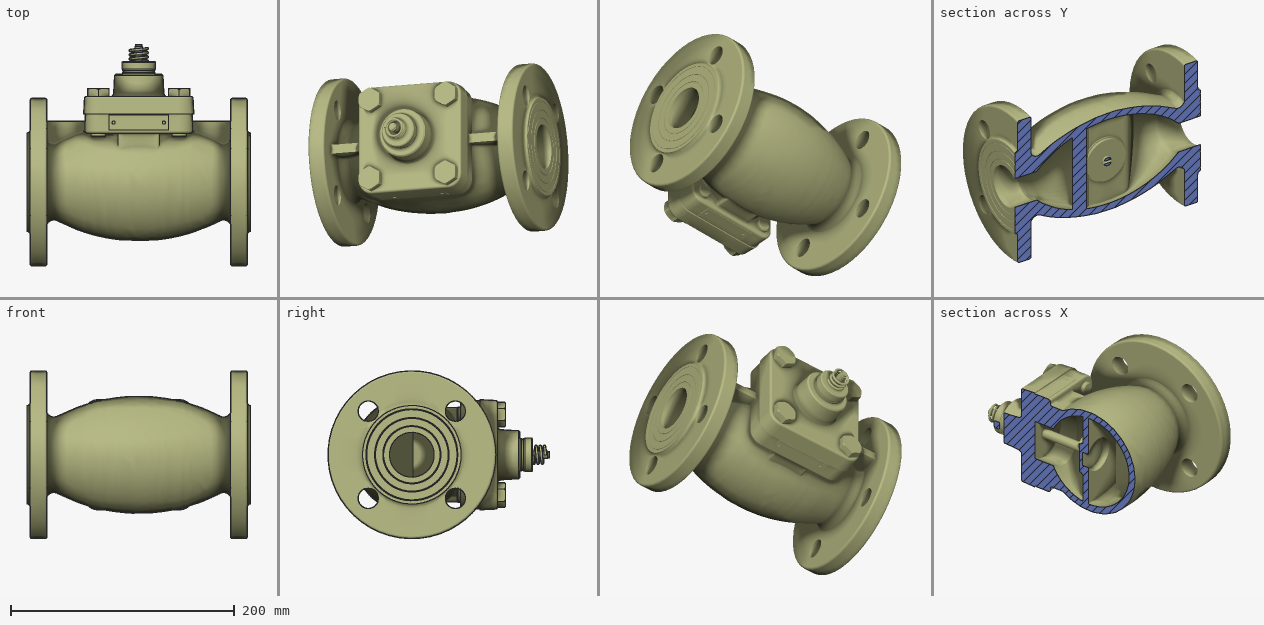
import cadquery as cq
import math


tolerance = 0.05

face_to_face = 200.0
overall_height = 197.9
flange_diameter = 150.0
flange_thickness = 15.0
flange_edge_round = 2.0
raised_face_height = 3.0
raised_face_radius = 44.0
raised_face_fillet = 3.0
bolt_circle_diameter = 110.0
flange_hole_diameter = 18.0
seal_groove_radii = (25.6, 32.9, 40.7)
seal_groove_width = 0.8
seal_groove_depth = 0.5

end_x = face_to_face / 2
flange_front_x = end_x - raised_face_height
flange_back_x = flange_front_x - flange_thickness

body_radius = 52.4
body_end_x = 73.0
body_end_radius = 34.4
throat_x = 76.2
throat_radius = 33.8
neck_flange_radius = 37.6
wall_thickness = 7.0
bore_radius = 20.0
cavity_end_x = 76.0

seat_bottom_y = 1.0
seat_top_y = 7.7
seat_ring_height = 1.2
seat_ring_radius = 22.0
seat_half_length = 26.0
partition_reach_x = 82.0
partition_reach_y = 60.0
partition_wall_length_x = 10.0
partition_round = 12.0
seat_radius = 16.0
plug_radius = 21.0
plug_thickness = 2.6
plug_stem_radius = 4.3
stem_pin_hole_diameter = 2.4
stem_pin_hole_y = 13.6

plate_bottom_y = 43.6
joint_y = 61.0
bonnet_top_y = 76.6
lower_plate_half = 48.0
bonnet_half = 48.5
bonnet_base_half = 49.3
plate_edge_round = 2.0
neck_radius = 41.8
neck_opening_radius = 24.0
saddle_half_width = 18.5
saddle_half_depth = 42.3
saddle_fillet = 1.5
saddle_bottom_y = 20.0
saddle_edge_round = 2.0
rib_top_y = 54.5
rib_thickness = 8.0
rib_fillet = 1.8
nameplate_length = 53.0
nameplate_bottom_y = 46.4
nameplate_top_y = 60.0
nameplate_thickness = 0.4
rivet_spacing = 44.8
rivet_y = 53.2
rivet_radius = 1.4
rivet_height = 0.6

bolt_spacing = 72.0
bolt_head_flats = 19.2
bolt_head_height = 7.2
bolt_head_chamfer = 1.0
bolt_end_radius = 6.5
bolt_end_y = 40.2
bolt_end_chamfer = 1.0

housing_top_y = 96.5
housing_top_radius = 21.7
housing_base_radius = 22.5
housing_base_y = 80.2
housing_foot_radius = 24.0
housing_top_round = 1.2
cap_top_y = 107.8
cap_bottom_y = 100.9
cap_radius = 15.1
cap_round = 0.8
gland_radius = 14.4
gland_groove_bottom_y = 98.0
gland_groove_top_y = 99.8
gland_groove_depth = 0.4
stem_top_y = overall_height - flange_diameter / 2
stem_radius = 3.5
stem_tip_radius = 2.8
stem_shoulder_y = 121.3
spring_wire_diameter = 2.2
spring_outer_radius = 8.6
spring_pitch = 3.75
spring_turns = 3
spring_start_y = cap_top_y + 0.3


def level(y):
    """Workplane facing +Y at height y, centred on the stem axis."""
    return cq.Workplane(cq.Plane(origin=(0, y, 0), xDir=(1, 0, 0), normal=(0, 1, 0)))


def cylinder(radius, bottom_y, top_y):
    return level(bottom_y).circle(radius).extrude(top_y - bottom_y)


def rounded_plate(half_width, bottom_y, top_y):
    """Square plate whose corners are rounded about the cover bolts."""
    plate = level(bottom_y).rect(2 * half_width, 2 * half_width).extrude(top_y - bottom_y)
    return plate.edges("|Y").fillet(half_width - bolt_spacing / 2)


def body_shell():
    """Solid barrel with its two throats, turned about X."""
    profile = (
        cq.Workplane("XY")
        .moveTo(-flange_back_x, 0)
        .lineTo(-flange_back_x, neck_flange_radius)
        .threePointArc((-throat_x, throat_radius), (-body_end_x, body_end_radius))
        .threePointArc((0, body_radius), (body_end_x, body_end_radius))
        .threePointArc((throat_x, throat_radius), (flange_back_x, neck_flange_radius))
        .lineTo(flange_back_x, 0)
        .close()
    )
    return profile.revolve(360, (0, 0, 0), (1, 0, 0))


def body_cavity(growth=0):
    """Through bore that swells inside the barrel, optionally grown outwards."""
    end_radius = bore_radius + growth
    middle_radius = body_radius - wall_thickness + growth
    profile = (
        cq.Workplane("XY")
        .moveTo(-end_x, 0)
        .lineTo(-end_x, end_radius)
        .lineTo(-cavity_end_x, end_radius)
        .threePointArc((0, middle_radius), (cavity_end_x, end_radius))
        .lineTo(end_x, end_radius)
        .lineTo(end_x, 0)
        .close()
    )
    return profile.revolve(360, (0, 0, 0), (1, 0, 0))


def flange():
    """Flange with raised face and bolt holes at the -X end."""
    disc = (
        cq.Workplane("YZ", origin=(-flange_front_x, 0, 0))
        .circle(flange_diameter / 2)
        .extrude(flange_thickness)
        .edges()
        .fillet(flange_edge_round)
    )
    foot_radius = raised_face_radius + raised_face_fillet
    arc_offset = raised_face_fillet * (1 - math.sqrt(0.5))
    raised_face = (
        cq.Workplane("XY")
        .moveTo(-end_x, 0)
        .lineTo(-end_x, raised_face_radius)
        .threePointArc(
            (-flange_front_x - arc_offset, raised_face_radius + arc_offset),
            (-flange_front_x, foot_radius),
        )
        .lineTo(-flange_front_x, 0)
        .close()
        .revolve(360, (0, 0, 0), (1, 0, 0))
    )
    holes = (
        cq.Workplane("YZ", origin=(-end_x, 0, 0))
        .polarArray(bolt_circle_diameter / 2, 45, 360, 4)
        .circle(flange_hole_diameter / 2)
        .extrude(raised_face_height + flange_thickness)
    )
    part = disc.union(raised_face).cut(holes)
    for radius in seal_groove_radii:
        groove = (
            cq.Workplane("YZ", origin=(-end_x, 0, 0))
            .circle(radius + seal_groove_width / 2)
            .circle(radius - seal_groove_width / 2)
            .extrude(seal_groove_depth)
        )
        part = part.cut(groove)
    return part


def saddle():
    """Round neck with a flat block across it, joining the barrel to the lower plate."""
    neck = cylinder(neck_radius, 0, plate_bottom_y)
    block = (
        level(saddle_bottom_y)
        .rect(2 * saddle_half_width, 2 * saddle_half_depth)
        .extrude(plate_bottom_y - saddle_bottom_y)
        .edges("|Y")
        .fillet(saddle_edge_round)
    )
    return neck.union(block)


def ribs():
    """Web along the top of the barrel, from flange to flange."""
    size = (2 * flange_back_x, rib_top_y, rib_thickness)
    return cq.Workplane("XY").box(*size, centered=(True, False, True))


def lower_plate():
    plate = rounded_plate(lower_plate_half, plate_bottom_y, joint_y)
    return plate.faces("<Y").edges().fillet(plate_edge_round)


def nameplates():
    """Riveted plate on the -Z and +Z sides of the lower plate."""
    height = nameplate_top_y - nameplate_bottom_y
    middle_y = (nameplate_top_y + nameplate_bottom_y) / 2
    depth = 2 * (lower_plate_half + nameplate_thickness)
    plates = cq.Workplane("XY").box(nameplate_length, height, depth).translate((0, middle_y, 0))
    rivet_length = depth + 2 * rivet_height
    rivets = (
        cq.Workplane("XY", origin=(0, rivet_y, -rivet_length / 2))
        .rarray(rivet_spacing, 1, 2, 1)
        .circle(rivet_radius)
        .extrude(rivet_length)
    )
    return plates.union(rivets)


def bonnet():
    """Cover plate that narrows slightly towards its top."""
    height = bonnet_top_y - joint_y
    draft_angle = math.degrees(math.atan((bonnet_base_half - bonnet_half) / height))
    base_width = 2 * bonnet_base_half
    corner_radius = bonnet_base_half - bolt_spacing / 2
    outline = cq.Sketch().rect(base_width, base_width).vertices().fillet(corner_radius)
    plate = level(joint_y).placeSketch(outline).extrude(height, taper=draft_angle)
    return plate.faces(">Y").edges().fillet(plate_edge_round)


def cover_bolts():
    """Four hexagon bolts through the plates, with their ends showing below."""
    corners_diameter = bolt_head_flats / math.cos(math.pi / 6)
    head = (
        level(bonnet_top_y)
        .polygon(6, corners_diameter)
        .extrude(bolt_head_height)
        .rotate((0, 0, 0), (0, 1, 0), 30)
    )
    corner_cone = (
        cylinder(corners_diameter / 2, bonnet_top_y, bonnet_top_y + bolt_head_height)
        .faces(">Y")
        .edges()
        .chamfer(bolt_head_chamfer)
    )
    shank = cylinder(bolt_end_radius, bolt_end_y, joint_y).faces("<Y").edges().chamfer(bolt_end_chamfer)
    bolt = head.intersect(corner_cone).union(shank)
    bolts = cq.Workplane("XY")
    for x in (-bolt_spacing / 2, bolt_spacing / 2):
        for z in (-bolt_spacing / 2, bolt_spacing / 2):
            bolts = bolts.add(bolt.translate((x, 0, z)))
    return bolts


def stem_housing():
    """Tapered housing with a flared foot, the gland, the cap and the stem, turned about Y."""
    foot_height = housing_base_y - bonnet_top_y
    foot_flare = housing_foot_radius - housing_base_radius
    flare_arc_radius = (foot_height**2 + foot_flare**2) / (2 * foot_flare)
    profile = (
        cq.Workplane("XY")
        .moveTo(0, joint_y)
        .lineTo(housing_foot_radius, joint_y)
        .lineTo(housing_foot_radius, bonnet_top_y)
        .radiusArc((housing_base_radius, housing_base_y), flare_arc_radius)
        .lineTo(housing_top_radius, housing_top_y - housing_top_round)
        .lineTo(housing_top_radius - housing_top_round, housing_top_y)
        .lineTo(gland_radius, housing_top_y)
        .lineTo(gland_radius, gland_groove_bottom_y)
        .lineTo(gland_radius - gland_groove_depth, gland_groove_bottom_y)
        .lineTo(gland_radius - gland_groove_depth, gland_groove_top_y)
        .lineTo(gland_radius, gland_groove_top_y)
        .lineTo(gland_radius, cap_bottom_y)
        .lineTo(cap_radius, cap_bottom_y)
        .lineTo(cap_radius, cap_top_y - cap_round)
        .lineTo(cap_radius - cap_round, cap_top_y)
        .lineTo(stem_radius, cap_top_y)
        .lineTo(stem_radius, stem_shoulder_y)
        .lineTo(stem_tip_radius, stem_shoulder_y)
        .lineTo(stem_tip_radius, stem_top_y)
        .lineTo(0, stem_top_y)
        .close()
    )
    return profile.revolve(360, (0, 0, 0), (0, 1, 0))


def spring():
    """Return spring standing on the cap."""
    coil_radius = spring_outer_radius - spring_wire_diameter / 2
    path = cq.Wire.makeHelix(spring_pitch, spring_pitch * spring_turns, coil_radius)
    coil = (
        cq.Workplane("XZ", origin=(coil_radius, 0, 0))
        .circle(spring_wire_diameter / 2)
        .sweep(cq.Workplane(path), isFrenet=True)
    )
    return coil.rotate((0, 0, 0), (1, 0, 0), -90).translate((0, spring_start_y, 0))


def partition():
    """S-shaped wall: up from the inlet floor, level through the seat, up to the outlet roof."""
    profile = (
        cq.Workplane("XY")
        .moveTo(-seat_half_length, seat_top_y)
        .lineTo(seat_half_length - partition_wall_length_x, seat_top_y)
        .lineTo(partition_reach_x - partition_wall_length_x, partition_reach_y)
        .lineTo(partition_reach_x, partition_reach_y)
        .lineTo(seat_half_length, seat_bottom_y)
        .lineTo(partition_wall_length_x - seat_half_length, seat_bottom_y)
        .lineTo(partition_wall_length_x - partition_reach_x, -partition_reach_y)
        .lineTo(-partition_reach_x, -partition_reach_y)
        .close()
        .extrude(body_radius, both=True)
    )
    seat_corner = cq.selectors.NearestToPointSelector((-seat_half_length, seat_top_y, 0))
    wall = profile.edges(seat_corner).fillet(partition_round)
    wall = wall.cut(cylinder(seat_radius, seat_bottom_y, seat_top_y))
    return wall.intersect(body_cavity(wall_thickness / 2))


def plug():
    """Seat ring with the disc closing it, hung on the stem, which carries a cross pin hole."""
    disc_bottom_y = seat_top_y + seat_ring_height
    disc_top_y = disc_bottom_y + plug_thickness
    ring = cylinder(seat_ring_radius, seat_top_y, disc_bottom_y)
    disc = cylinder(plug_radius, disc_bottom_y, disc_top_y)
    stem = cylinder(plug_stem_radius, disc_top_y, joint_y)
    pin_hole = (
        cq.Workplane("YZ", origin=(-plug_stem_radius, stem_pin_hole_y, 0))
        .circle(stem_pin_hole_diameter / 2)
        .extrude(2 * plug_stem_radius)
    )
    return ring.union(disc).union(stem.cut(pin_hole))


def is_saddle_joint(edge):
    """Edges where the saddle meets the barrel and the underside of the lower plate."""
    center = edge.Center()
    box = edge.BoundingBox()
    inside_saddle = abs(center.x) < bolt_spacing / 2 and rib_thickness < abs(center.z) < saddle_half_depth + tolerance
    below_plate = box.ymin > saddle_bottom_y and box.ymax < plate_bottom_y + tolerance
    flat_start_z = saddle_half_depth - saddle_edge_round
    upright = edge.geomType() == "LINE" and box.ylen > tolerance
    is_block_corner = upright and abs(center.z) > flat_start_z - tolerance
    return inside_saddle and below_plate and not is_block_corner


def is_rib_joint(edge):
    """Edges along both rib faces, apart from the rib's free top edges."""
    on_rib_face = abs(abs(edge.Center().z) - rib_thickness / 2) < tolerance
    box = edge.BoundingBox()
    return on_rib_face and box.zlen < tolerance and box.ymin < rib_top_y - tolerance


def rib_plate_flare():
    """Concave flare of the rib where it runs into the -X side of the lower plate."""
    half_rib = rib_thickness / 2
    start_x = -lower_plate_half - rib_fillet
    return (
        level(plate_bottom_y)
        .moveTo(start_x, -half_rib)
        .radiusArc((-lower_plate_half, -half_rib - rib_fillet), rib_fillet)
        .lineTo(-lower_plate_half, half_rib + rib_fillet)
        .radiusArc((start_x, half_rib), rib_fillet)
        .close()
        .extrude(rib_top_y - plate_bottom_y)
    )


def blended_body():
    """Barrel, flanges, ribs, saddle and lower plate joined, with cast fillets where they meet."""
    near_flange = flange()
    body = body_shell().union(near_flange).union(near_flange.mirror("YZ")).union(ribs())
    body = body.edges().filter(is_rib_joint).fillet(rib_fillet)
    body = body.union(saddle()).union(lower_plate())
    body = body.edges().filter(is_saddle_joint).fillet(saddle_fillet)
    flare = rib_plate_flare()
    return body.union(flare).union(flare.mirror("YZ"))


valve = blended_body()
neck_opening = cylinder(neck_opening_radius, seat_top_y, joint_y)
valve = valve.cut(body_cavity()).cut(neck_opening)
valve = valve.union(partition()).union(plug())
valve = valve.union(nameplates().cut(neck_opening))
valve = valve.union(bonnet()).union(stem_housing()).union(spring())
for cover_bolt in cover_bolts().vals():
    valve = valve.union(cq.Workplane(cover_bolt))
result = valve